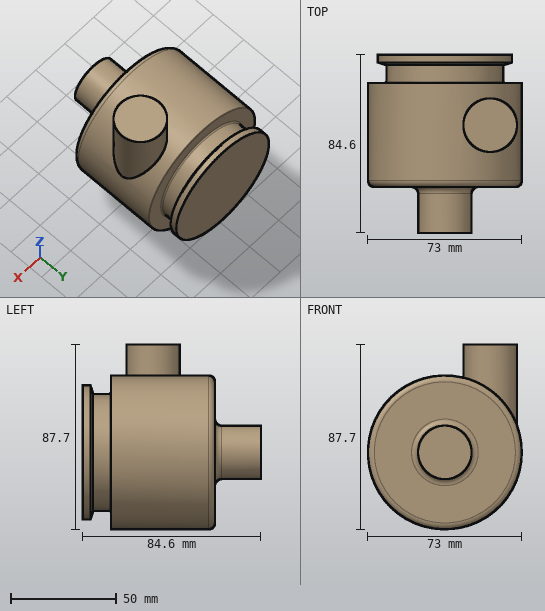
import cadquery as cq

total_height = 87.7
total_length = 84.6

drum_radius = 36.52
drum_length = 49.4
front_edge_fillet = 3.1
back_edge_fillet = 0.3

neck_radius = 27.8
ferrule_length = 13.4
neck_fillet = 0.7
flange_radius = 31.9
flange_rim = 3.7
flange_taper = 1.3

pipe_radius = 12.7
pipe_fillet = 3.1
side_pipe_x = 21.5
side_pipe_y = 29.4

drum_back = drum_length
ferrule_back = drum_back + ferrule_length
pipe_front = ferrule_back - total_length
pipe_top = total_height - drum_radius


def cylinder_along_y(radius, start, end):
    """Solid cylinder on the drum axis between two Y positions."""
    return cq.Workplane("XZ", origin=(0, start, 0)).circle(radius).extrude(start - end)


def make_drum():
    drum = cylinder_along_y(drum_radius, 0, drum_back)
    drum = drum.faces("<Y").edges().fillet(front_edge_fillet)
    return drum.faces(">Y").edges().fillet(back_edge_fillet)


def make_ferrule():
    """Revolved neck and flange, with a flared root and a tapered clamp face."""
    rim_start = ferrule_back - flange_rim
    profile = (
        cq.Workplane("XY")
        .moveTo(0, drum_back - neck_fillet)
        .lineTo(neck_radius + neck_fillet, drum_back - neck_fillet)
        .lineTo(neck_radius + neck_fillet, drum_back)
        .radiusArc((neck_radius, drum_back + neck_fillet), neck_fillet)
        .lineTo(neck_radius, rim_start - flange_taper)
        .lineTo(flange_radius, rim_start)
        .lineTo(flange_radius, ferrule_back)
        .lineTo(0, ferrule_back)
        .close()
    )
    return profile.revolve(360, (0, 0, 0), (0, 1, 0))


def make_axial_pipe():
    """Revolved pipe with a concave fillet where it leaves the drum face."""
    root_radius = pipe_radius + pipe_fillet
    profile = (
        cq.Workplane("XY")
        .moveTo(0, pipe_front)
        .lineTo(pipe_radius, pipe_front)
        .lineTo(pipe_radius, -pipe_fillet)
        .radiusArc((root_radius, 0), pipe_fillet)
        .lineTo(root_radius, pipe_fillet)
        .lineTo(0, pipe_fillet)
        .close()
    )
    return profile.revolve(360, (0, 0, 0), (0, 1, 0))


def make_side_pipe():
    """Upright pipe, offset from the drum axis, rising from the mid-plane."""
    base = cq.Workplane("XY", origin=(side_pipe_x, side_pipe_y, 0))
    return base.circle(pipe_radius).extrude(pipe_top)


result = make_drum().union(make_ferrule()).union(make_axial_pipe()).union(make_side_pipe())